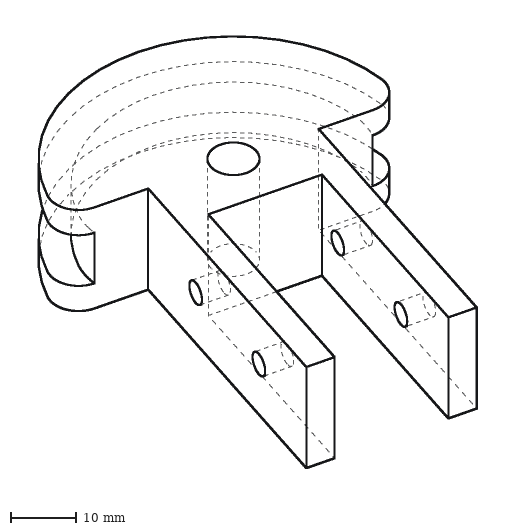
import cadquery as cq
import math

length = 80.0
height = 20.0
sector_radius = 30.0
wall = height / 4
corner_radius = wall
pivot_diameter = 8.0
pin_diameter = 4.0
pin_pitch = 20.0

arm_end = length - sector_radius
slot_start = 2 * wall
slot_width = 4 * wall
fork_width = slot_width + 2 * wall
groove_width = height - 2 * wall
core_radius = sector_radius - wall
core_end_length = corner_radius
core_end_bulge = 0.2
core_half_width = math.sqrt(core_radius**2 - core_end_length**2)
first_pin = 3 * wall


def half_disc(radius, thickness):
    """Half disc on the -X side of the pivot, centred on Z = 0."""
    return (
        cq.Workplane("XY", origin=(0, 0, -thickness / 2))
        .moveTo(0, radius)
        .threePointArc((-radius, 0), (0, -radius))
        .close()
        .extrude(thickness)
    )


def rounded_sector():
    """Full-height half disc with its two sharp corners rounded."""
    return half_disc(sector_radius, height).edges("|Z").fillet(corner_radius)


def rim_groove():
    """Rope groove around the curved rim, its floor ending in short bulged faces."""
    blank = half_disc(2 * sector_radius, groove_width)
    core = (
        cq.Workplane("XY", origin=(0, 0, -groove_width / 2))
        .moveTo(0, core_half_width)
        .sagittaArc((-core_end_length, core_half_width), -core_end_bulge)
        .threePointArc((-core_radius, 0), (-core_end_length, -core_half_width))
        .sagittaArc((0, -core_half_width), -core_end_bulge)
        .close()
        .extrude(groove_width)
    )
    return blank.cut(core)


def fork():
    """Two parallel arms joined by a solid bridge at the pivot."""
    body = cq.Workplane("XY").box(arm_end, fork_width, height, centered=(False, True, True))
    slot = (
        cq.Workplane("XY", origin=(slot_start, 0, 0))
        .box(arm_end, slot_width, height, centered=(False, True, True))
    )
    return body.cut(slot)


def pivot_hole():
    return cq.Workplane("XY").circle(pivot_diameter / 2).extrude(height, both=True)


def pin_holes():
    """Cross holes through both arms."""
    return (
        cq.Workplane("XZ")
        .pushPoints([(first_pin, 0), (first_pin + pin_pitch, 0)])
        .circle(pin_diameter / 2)
        .extrude(fork_width, both=True)
    )


result = rounded_sector().cut(rim_groove()).union(fork()).cut(pivot_hole()).cut(pin_holes())